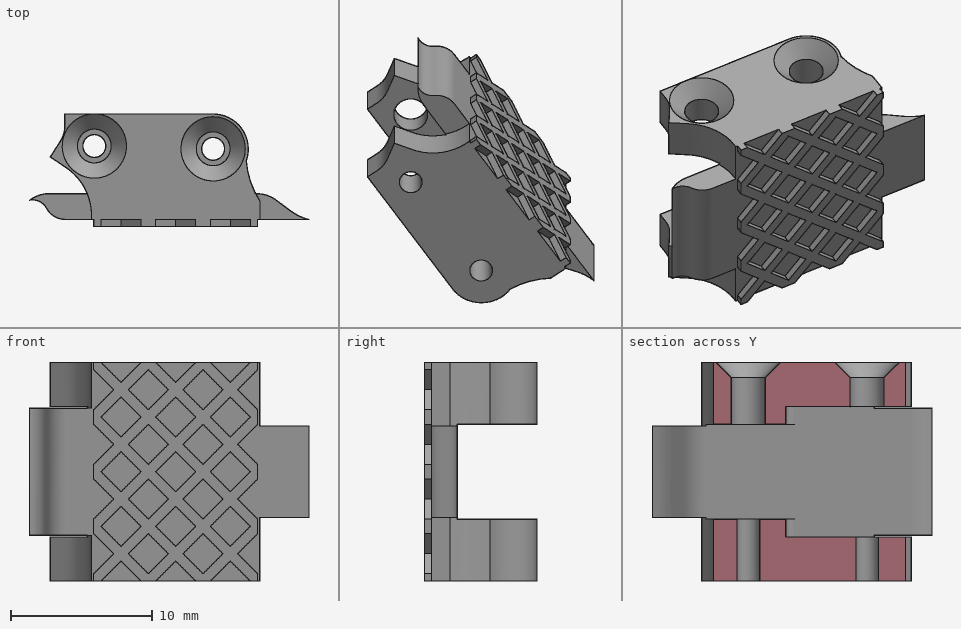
import cadquery as cq


height = 15.5
overall_depth = 8.0
back_y = 7.5
half_body = 5.97
web_thickness = 1.85

jaw_foot_y = 0.28
jaw_arc_end = (-7.93, 3.79)
jaw_tip = (-8.9, 4.45)
corner_arc_start = (-8.2, 5.51)
corner_arc_end = (-7.87, 6.65)

waist_start = (5.02, 4.16)
waist_middle = (5.25, 2.88)
waist_end_y = 1.33

wide_gap = 9.25
narrow_gap = 6.72
gap_step_x = 0.0
gap_step_fillet = 0.61

hook_width = 9.02
hook_tip = (-10.37, 1.37)
hook_crown_x = -8.98
hook_inflection = (-9.16, 0.8)
hook_foot_x = -7.83

tongue_width = 6.5
tongue_shoulder_x = 5.73
tongue_slope_start = (7.18, 1.35)
tongue_slope_end = (8.13, 0.63)
tongue_tip_x = 9.45

left_hole = (-5.77, 5.22)
right_hole = (2.65, 5.02)
sink_diameter = 4.56
clearance_diameter = 2.4
thread_diameter = 1.6
sink_depth = (sink_diameter - clearance_diameter) / 2

tread_depth = overall_depth - back_y
cells_high = 4
cells_wide = 3
pitch = height / cells_high
tread_width = cells_wide * pitch
diamond_diagonal = 2.84


def prism(outline, width):
    """Extrude an XY outline to a given width, centred on Z = 0."""
    return outline.extrude(width / 2, both=True)


def make_body():
    outline = (
        cq.Workplane("XY")
        .moveTo(-half_body, 0)
        .vLineTo(jaw_foot_y)
        .tangentArcPoint(jaw_arc_end, relative=False)
        .lineTo(*jaw_tip)
        .lineTo(*corner_arc_start)
        .tangentArcPoint(corner_arc_end, relative=False)
        .lineTo(corner_arc_end[0], back_y)
        .hLineTo(right_hole[0])
        .tangentArcPoint(waist_start, relative=False)
        .threePointArc(waist_middle, (half_body, waist_end_y))
        .vLineTo(0)
        .close()
    )
    return prism(outline, height)


def make_gap():
    """Space between the lugs; the step between its two widths runs into the web with a fillet."""
    reach = 2 * half_body
    depth = back_y - web_thickness
    wide = (
        cq.Workplane("XY")
        .box(reach, depth, wide_gap, centered=(False, False, True))
        .translate((gap_step_x - reach, web_thickness, 0))
        .edges("|Z and >X and <Y")
        .fillet(gap_step_fillet)
    )
    narrow = (
        cq.Workplane("XY")
        .box(2 * reach, depth, narrow_gap, centered=(True, False, True))
        .translate((0, web_thickness, 0))
    )
    return wide.union(narrow)


def make_hook():
    crown_run = hook_crown_x - hook_tip[0]
    crown_rise = web_thickness - hook_tip[1]
    crown_radius = (crown_run**2 + crown_rise**2) / (2 * crown_rise)
    outline = (
        cq.Workplane("XY")
        .moveTo(0, 0)
        .hLineTo(hook_foot_x)
        .tangentArcPoint(hook_inflection, relative=False)
        .tangentArcPoint(hook_tip, relative=False)
        .radiusArc((hook_crown_x, web_thickness), crown_radius)
        .hLineTo(0)
        .close()
    )
    return prism(outline, hook_width)


def make_tongue():
    outline = (
        cq.Workplane("XY")
        .moveTo(0, web_thickness)
        .hLineTo(tongue_shoulder_x)
        .tangentArcPoint(tongue_slope_start, relative=False)
        .lineTo(*tongue_slope_end)
        .tangentArcPoint((tongue_tip_x, 0), relative=False)
        .hLineTo(0)
        .close()
    )
    return prism(outline, tongue_width)


def make_screw_hole(center):
    """Countersink and clearance hole in the upper lug, smaller hole in the lower lug."""
    top = height / 2
    radius = clearance_diameter / 2
    profile = (
        cq.Workplane("XZ")
        .moveTo(0, -top)
        .hLineTo(thread_diameter / 2)
        .vLineTo(0)
        .hLineTo(radius)
        .vLineTo(top - sink_depth)
        .lineTo(sink_diameter / 2, top)
        .hLineTo(0)
        .close()
    )
    return profile.revolve(360, (0, 0), (0, 1)).translate((center[0], center[1], 0))


def make_tread():
    """Plate with two interleaved grids of diamonds cut through it, leaving crossed ribs."""
    plate = (
        cq.Workplane("XY")
        .box(tread_width, tread_depth, height)
        .translate((0, -tread_depth / 2, 0))
    )
    centers = []
    for column in range(2 * cells_wide + 1):
        for row in range(2 * cells_high + 1):
            if (column + row) % 2 == 1:
                x = (column - cells_wide) * pitch / 2
                z = (row - cells_high) * pitch / 2
                centers.append((x, z))
    diamonds = (
        cq.Workplane("XZ")
        .pushPoints(centers)
        .polygon(4, diamond_diagonal)
        .extrude(tread_depth)
    )
    return plate.cut(diamonds)


result = make_body().cut(make_gap())
result = result.union(make_hook()).union(make_tongue())
for hole_center in (left_hole, right_hole):
    result = result.cut(make_screw_hole(hole_center))
result = result.union(make_tread())